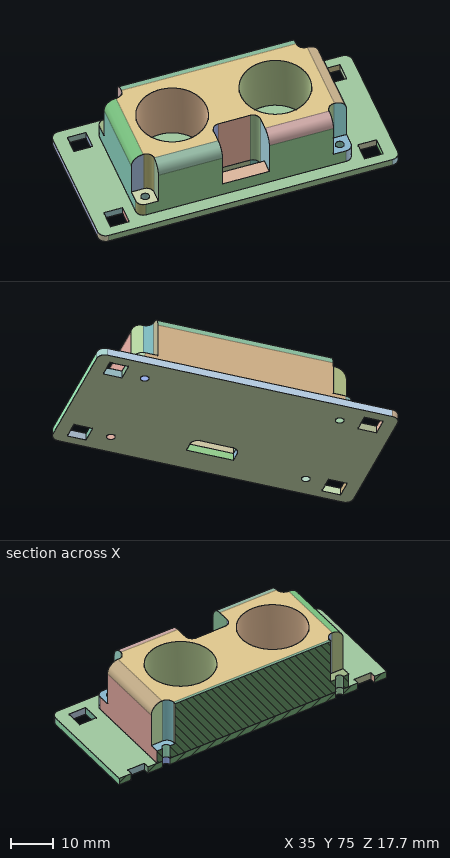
import cadquery as cq

PLATE_WIDTH = 35.0
PLATE_LENGTH = 75.0
PLATE_THICKNESS = 2.0
PLATE_CORNER_RADIUS = 2.0
SQUARE_HOLE_SIDE = 4.65
SQUARE_HOLE_X = 12.7
SQUARE_HOLE_Y = 31.7

TOTAL_HEIGHT = 17.7
HOUSING_HEIGHT = TOTAL_HEIGHT - PLATE_THICKNESS
HOUSING_WIDTH = 28.7
HOUSING_LENGTH = 53.8
HOUSING_CORNER_RADIUS = 1.9
TOP_EDGE_RADIUS = 3.0
BORE_DIAMETER = 17.1
BORE_SPACING = 25.8
BORE_PAIR_Y = -0.4

EAR_HEIGHT = 3.7
RECESS_WIDTH = 4.9
RECESS_LENGTH = 5.0
RECESS_RADIUS = 1.9
SCREW_HOLE_DIAMETER = 2.0
SCREW_X = 11.9
SCREW_Y = 24.3

NOTCH_WIDTH = 11.7
NOTCH_DEPTH = 8.0
NOTCH_CORNER_RADIUS = 1.9
SILL_THICKNESS = 3.5
SILL_HEIGHT = EAR_HEIGHT

EAR_TOP_Z = PLATE_THICKNESS + EAR_HEIGHT
SILL_TOP_Z = PLATE_THICKNESS + SILL_HEIGHT
HOUSING_SIDE_X = HOUSING_WIDTH / 2
NOTCH_INNER_X = HOUSING_SIDE_X - NOTCH_DEPTH
SILL_INNER_X = HOUSING_SIDE_X - SILL_THICKNESS


def four_corners(x, y):
    return [(x, y), (-x, y), (-x, -y), (x, -y)]


def make_block(width, length, height, base_z):
    """Box centred on the Z axis and standing on base_z."""
    block = cq.Workplane("XY").box(width, length, height, centered=(True, True, False))
    return block.translate((0, 0, base_z))


def make_screw_holes():
    """Four cylinders that run through the plate and the ears."""
    holes = cq.Workplane("XY").pushPoints(four_corners(SCREW_X, SCREW_Y))
    return holes.circle(SCREW_HOLE_DIAMETER / 2).extrude(TOTAL_HEIGHT)


def make_notch(outer_x, base_z):
    """Notch volume from its rounded inner end to outer_x, above base_z."""
    length = outer_x - NOTCH_INNER_X
    notch = make_block(length, NOTCH_WIDTH, TOTAL_HEIGHT - base_z, base_z)
    notch = notch.edges("|Z and <X").fillet(NOTCH_CORNER_RADIUS)
    return notch.translate(((NOTCH_INNER_X + outer_x) / 2, 0, 0))


def make_corner_recesses():
    """Recesses above the ears, rounded at their inner corner."""
    height = TOTAL_HEIGHT - EAR_TOP_Z
    recess = make_block(RECESS_WIDTH, RECESS_LENGTH, height, EAR_TOP_Z)
    recess = recess.edges("|Z and <X and <Y").fillet(RECESS_RADIUS)
    center_x = (HOUSING_WIDTH - RECESS_WIDTH) / 2
    center_y = (HOUSING_LENGTH - RECESS_LENGTH) / 2
    recess = recess.translate((center_x, center_y, 0))
    right_pair = recess.union(recess.mirror("XZ"))
    return right_pair.union(right_pair.mirror("YZ"))


def make_plate():
    plate = make_block(PLATE_WIDTH, PLATE_LENGTH, PLATE_THICKNESS, 0)
    plate = plate.edges("|Z").fillet(PLATE_CORNER_RADIUS)
    square_holes = cq.Workplane("XY").pushPoints(four_corners(SQUARE_HOLE_X, SQUARE_HOLE_Y))
    square_holes = square_holes.rect(SQUARE_HOLE_SIDE, SQUARE_HOLE_SIDE).extrude(PLATE_THICKNESS)
    plate = plate.cut(square_holes)
    plate = plate.cut(make_screw_holes())
    return plate.cut(make_notch(SILL_INNER_X, 0))


def make_housing():
    housing = make_block(HOUSING_WIDTH, HOUSING_LENGTH, HOUSING_HEIGHT, PLATE_THICKNESS)
    housing = housing.faces(">Z").edges().fillet(TOP_EDGE_RADIUS)
    housing = housing.cut(make_corner_recesses())

    envelope = make_block(HOUSING_WIDTH, HOUSING_LENGTH, HOUSING_HEIGHT, PLATE_THICKNESS)
    envelope = envelope.edges("|Z").fillet(HOUSING_CORNER_RADIUS)
    housing = housing.intersect(envelope)

    bore_ys = [BORE_PAIR_Y - BORE_SPACING / 2, BORE_PAIR_Y + BORE_SPACING / 2]
    bores = cq.Workplane("XY").pushPoints([(0, y) for y in bore_ys])
    bores = bores.circle(BORE_DIAMETER / 2).extrude(TOTAL_HEIGHT)
    housing = housing.cut(bores)

    housing = housing.cut(make_screw_holes())

    housing = housing.cut(make_notch(SILL_INNER_X, PLATE_THICKNESS))
    return housing.cut(make_notch(HOUSING_SIDE_X, SILL_TOP_Z))


plate = make_plate()
housing = make_housing()
result = cq.Compound.makeCompound([plate.solids().val(), housing.solids().val()])